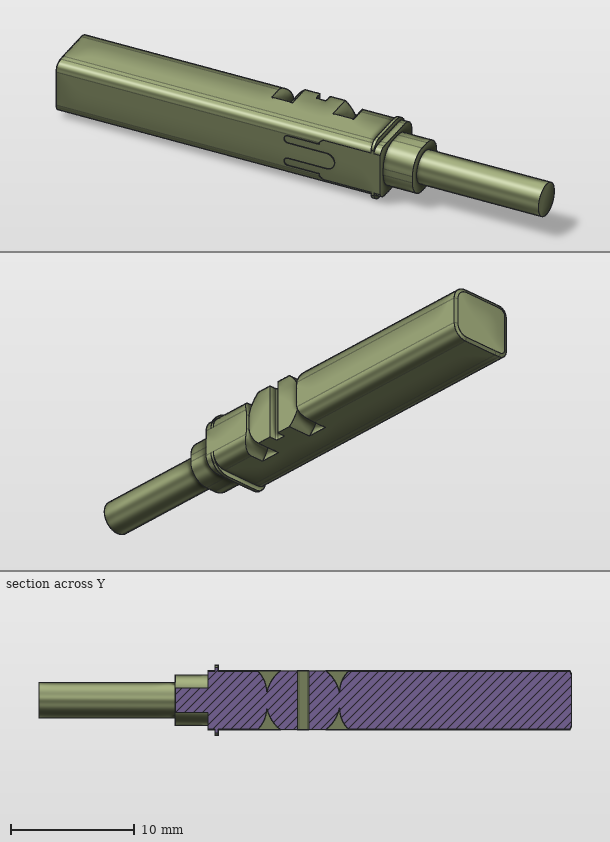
import cadquery as cq
import math

housing_length = 29.5
housing_width = 5.8
housing_height = 4.8
back_corner_radius = 1.25
front_corner_radius = 0.8
draft_start = 1.26
draft_drop = 0.02
nose_bevel_length = 0.13
nose_bevel_inset = 0.3

flange_start = 28.65
flange_thickness = 0.27
flange_height = 5.7
flange_back_radius = 1.7
flange_front_radius = 1.05

cable_axis_y = -0.09
collar_length = 2.65
collar_width = 4.4
collar_height = 4.1
collar_corner_radius = 1.75
cable_diameter = 2.9
total_length = 43.2

screw_x = 21.77
screw_radius = 3.02
pocket_depth = 2.5
pocket_half_width = 3.72
throat_half_width = 2.95
screw_setback = 0.28
slot_width = 0.92
slot_depth = 0.75
slot_corner_radius = 0.12

recess_depth = 0.06
clip_shoulder_x = 24.0
clip_shoulder_z = 1.62
clip_bevel_x = 0.3
clip_bevel_z = 0.25
finger_tip_x = 20.8
finger_width = 0.68
tongue_width = 1.47
tongue_tip_x = 25.38

half_width = housing_width / 2
half_height = housing_height / 2


def housing_section():
    """Half of the housing profile in the YZ plane, mirrored to the full outline."""
    diagonal = math.sqrt(0.5)
    back_center_y = half_width - back_corner_radius
    back_center_z = half_height - back_corner_radius
    front_center_y = -half_width + front_corner_radius
    front_edge_z = half_height - draft_drop
    front_center_z = front_edge_z - front_corner_radius
    return (
        cq.Workplane("YZ")
        .moveTo(half_width, 0)
        .lineTo(half_width, back_center_z)
        .threePointArc(
            (back_center_y + back_corner_radius * diagonal, back_center_z + back_corner_radius * diagonal),
            (back_center_y, half_height),
        )
        .lineTo(-half_width + draft_start, half_height)
        .lineTo(front_center_y, front_edge_z)
        .threePointArc(
            (front_center_y - front_corner_radius * diagonal, front_center_z + front_corner_radius * diagonal),
            (-half_width, front_center_z),
        )
        .lineTo(-half_width, 0)
        .mirrorX()
    )


def make_housing():
    bar = housing_section().extrude(housing_length)
    return bar.faces("<X").chamfer(nose_bevel_length, nose_bevel_inset)


def make_flange():
    plate = cq.Workplane("XY").box(flange_thickness, housing_width, flange_height, centered=(False, True, True))
    plate = plate.edges("|X and >Y").fillet(flange_back_radius)
    plate = plate.edges("|X and <Y").fillet(flange_front_radius)
    return plate.translate((flange_start, 0, 0))


def make_collar_and_cable():
    axis_plane = cq.Workplane("YZ", origin=(housing_length, cable_axis_y, 0))
    collar = axis_plane.rect(collar_width, collar_height).extrude(collar_length)
    collar = collar.edges("|X").fillet(collar_corner_radius)
    cable = axis_plane.circle(cable_diameter / 2).extrude(total_length - housing_length)
    return collar.union(cable)


def make_pocket_side(side, level):
    """Cutter for a quarter of the pocket, ending at its flared wall; side and level are +1 or -1."""
    flare = pocket_half_width - throat_half_width
    throat_z = math.sqrt(screw_radius**2 - throat_half_width**2)
    rise = half_height - throat_z
    wall_radius = (flare**2 + rise**2) / (2 * flare)
    wall_mid_angle = math.asin(rise / wall_radius) / 2
    wall_mid_x = throat_half_width + wall_radius * (1 - math.cos(wall_mid_angle))
    wall_mid_z = throat_z + wall_radius * math.sin(wall_mid_angle)

    def place(x, z):
        return (screw_x + side * x, level * z)

    return (
        cq.Workplane("XZ", origin=(0, half_width, 0))
        .moveTo(*place(0, 0))
        .lineTo(*place(throat_half_width, 0))
        .lineTo(*place(throat_half_width, throat_z))
        .threePointArc(place(wall_mid_x, wall_mid_z), place(pocket_half_width, half_height))
        .lineTo(*place(0, half_height))
        .close()
        .extrude(pocket_depth)
    )


def make_screw():
    """Round screw along Y, flattened to the housing height and slotted across its +Y end."""
    screw_length = pocket_depth - screw_setback
    end_y = half_width - screw_setback
    screw = cq.Workplane("XZ", origin=(screw_x, end_y, 0)).circle(screw_radius).extrude(screw_length)
    envelope = cq.Workplane("XY").box(2 * throat_half_width, housing_width, housing_height)
    slot = cq.Workplane("XY").box(slot_width, 2 * slot_depth, housing_height)
    slot = slot.edges("|Z").fillet(slot_corner_radius)
    screw = screw.intersect(envelope.translate((screw_x, 0, 0)))
    return screw.cut(slot.translate((screw_x, end_y, 0)))


def add_screw_pocket(body):
    for side in (-1, 1):
        for level in (-1, 1):
            body = body.cut(make_pocket_side(side, level))
    return body.union(make_screw())


def cut_clip_recess(body):
    """Shallow step in the -Y face: a full-height plate with two fingers beside a round-ended tongue."""
    face_plane = cq.Workplane("XZ", origin=(0, -half_width, 0))
    bevel_end_x = clip_shoulder_x + clip_bevel_x
    plate = (
        face_plane.moveTo(clip_shoulder_x, 0)
        .lineTo(clip_shoulder_x, clip_shoulder_z)
        .lineTo(bevel_end_x, clip_shoulder_z + clip_bevel_z)
        .lineTo(bevel_end_x, flange_height / 2)
        .lineTo(housing_length, flange_height / 2)
        .lineTo(housing_length, 0)
        .mirrorX()
        .extrude(-recess_depth)
    )
    finger_end_x = clip_shoulder_x + finger_width
    finger_length = finger_end_x - finger_tip_x
    finger_offset = (tongue_width + finger_width) / 2
    fingers = (
        face_plane.pushPoints([(finger_tip_x + finger_length / 2, level * finger_offset) for level in (-1, 1)])
        .slot2D(finger_length, finger_width)
        .extrude(-recess_depth)
    )
    tongue_length = tongue_tip_x - finger_tip_x
    tongue = (
        face_plane.center(tongue_tip_x - tongue_length / 2, 0)
        .slot2D(tongue_length, tongue_width)
        .extrude(-recess_depth)
    )
    return body.cut(plate.cut(tongue).union(fingers))


result = make_housing().union(make_flange())
result = cut_clip_recess(result)
result = add_screw_pocket(result)
result = result.union(make_collar_and_cable())